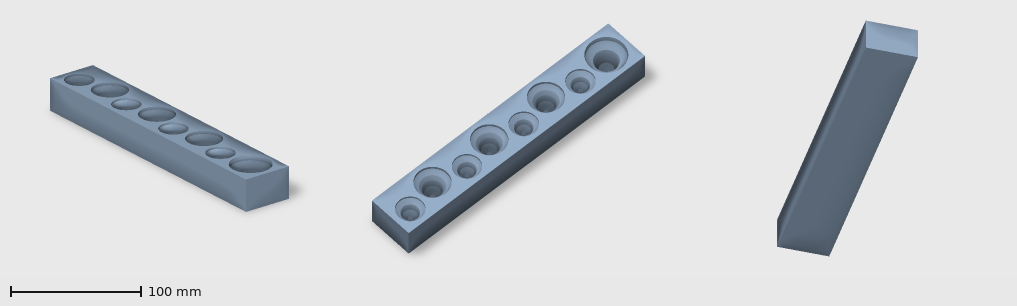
import cadquery as cq

LENGTH = 246.3
WIDTH = 41.6
HEIGHT = 27.0

SMALL_PROFILE = [(11.7, 0), (11.7, 1.7), (7.6, 5.0), (6.0, 8.9), (1.85, 12.3)]
MEDIUM_PROFILE = [(14.65, 0), (14.65, 2.5), (10.5, 5.5), (8.1, 8.9), (6.5, 13.5), (1.85, 19.0)]
LARGE_PROFILE = [(16.87, 0), (16.3, 3.7), (10.3, 8.0), (8.0, 13.8), (6.0, 18.5), (0, 21.5)]

PITCH = 59.0
SMALL_COUNT = 4
MEDIUM_COUNT = 3
FIRST_SMALL_X = -107.0
FIRST_MEDIUM_X = FIRST_SMALL_X + PITCH / 2
LARGE_X = 102.0
EDGE_WALL = 4.2


def pocket(profile, x, y):
    """Solid of revolution that fills one pocket."""
    bottom_depth = profile[-1][1]
    outline = [(radius, -depth) for radius, depth in profile]
    if profile[-1][0] > 0:
        outline.append((0, -bottom_depth))
    outline.append((0, 0))
    cutter = cq.Workplane("XZ").polyline(outline).close().revolve(360, (0, 0, 0), (0, 1, 0))
    return cutter.translate((x, y, HEIGHT))


result = cq.Workplane("XY").box(LENGTH, WIDTH, HEIGHT, centered=(True, True, False))

small_y = -WIDTH / 2 + EDGE_WALL + SMALL_PROFILE[0][0]
for index in range(SMALL_COUNT):
    result = result.cut(pocket(SMALL_PROFILE, FIRST_SMALL_X + index * PITCH, small_y))

medium_y = WIDTH / 2 - EDGE_WALL - MEDIUM_PROFILE[0][0]
for index in range(MEDIUM_COUNT):
    result = result.cut(pocket(MEDIUM_PROFILE, FIRST_MEDIUM_X + index * PITCH, medium_y))

result = result.cut(pocket(LARGE_PROFILE, LARGE_X, 0))